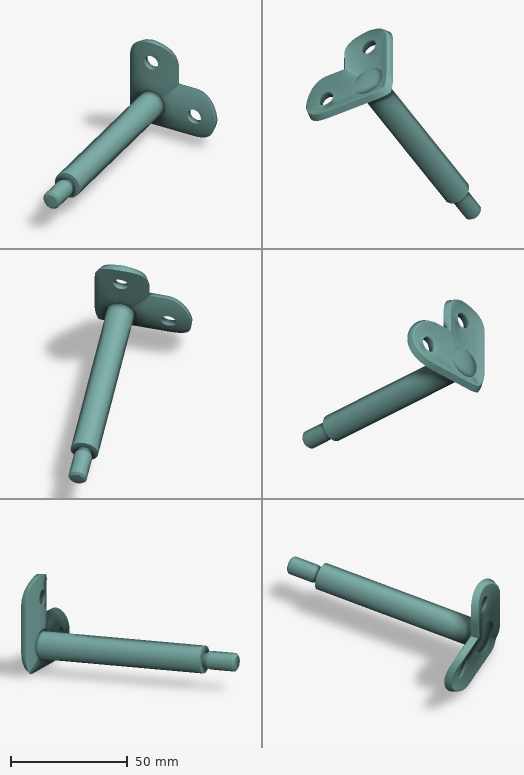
import cadquery as cq
import math

TOTAL_LENGTH = 95.5

ARM_WIDTH = 24.0
ARM_HALF = ARM_WIDTH / 2
BRACKET_SIZE = 43.0
TIP_RADIUS = ARM_HALF
TIP_CENTER = BRACKET_SIZE - ARM_HALF - TIP_RADIUS
CROWN_RADIUS = 24.0
SHEET = 3.2
EDGE_BREAK = 0.3
CORNER_RADIUS = 10.0
MOUNT_HOLE_OFFSET = 21.0
MOUNT_HOLE_DIAMETER = 6.7
SEAT_RADIUS = 7.2
SEAT_DEPTH = 0.5
CUTTER_REACH = 19.1
TOLERANCE = 0.001

HOLLOW_RADIUS = CROWN_RADIUS - SHEET
EDGE_ANGLE = math.asin(ARM_HALF / CROWN_RADIUS)
BRACKET_DEPTH = CROWN_RADIUS - HOLLOW_RADIUS * math.cos(EDGE_ANGLE - EDGE_BREAK / HOLLOW_RADIUS)

ROD_RADIUS = 6.0
STUD_LENGTH = 15.0
STUD_RADIUS = 4.0
STUD_CHAMFER = 1.0
NECK_RADIUS = 3.0
NECK_LENGTH = 1.1
SHOULDER_RADIUS = 3.7
STEEP_CONE_END = 2.0
SHALLOW_CONE_END = 3.15

STUD_END_Y = BRACKET_DEPTH - TOTAL_LENGTH
ROD_END_Y = STUD_END_Y + STUD_LENGTH


def disc_along_y(radius, y_start, y_end):
    """Solid cylinder around the rod axis between two Y positions."""
    return cq.Workplane("XZ", origin=(0, y_start, 0)).circle(radius).extrude(y_start - y_end)


def arched_sheet():
    """Long tube running along Z whose wall is the bent sheet."""
    return (
        cq.Workplane("XY", origin=(0, CROWN_RADIUS, -BRACKET_SIZE))
        .circle(CROWN_RADIUS)
        .circle(HOLLOW_RADIUS)
        .extrude(2 * BRACKET_SIZE)
    )


def left_edge_limit():
    """Block bounded by the left arm edge, which is square to the sheet, and by the tip rounding."""
    block = (
        cq.Workplane("XZ")
        .moveTo(0, -ARM_HALF)
        .lineTo(0, TIP_CENTER)
        .radiusArc((TIP_RADIUS, TIP_CENTER + TIP_RADIUS), TIP_RADIUS)
        .lineTo(BRACKET_SIZE, TIP_CENTER + TIP_RADIUS)
        .lineTo(BRACKET_SIZE, -ARM_HALF)
        .close()
        .extrude(CROWN_RADIUS, both=True)
    )
    return block.rotate((0, CROWN_RADIUS, 0), (0, CROWN_RADIUS, 1), -math.degrees(EDGE_ANGLE))


def mitre_limit():
    """Half space Z > X that the upright arm keeps."""
    return (
        cq.Workplane("XZ")
        .polyline([
            (-BRACKET_SIZE, -BRACKET_SIZE),
            (BRACKET_SIZE, BRACKET_SIZE),
            (-BRACKET_SIZE, BRACKET_SIZE),
        ])
        .close()
        .extrude(CUTTER_REACH, both=True)
    )


def upright_arm():
    left_limit = left_edge_limit()
    right_limit = left_limit.mirror("YZ")
    return arched_sheet().intersect(left_limit).intersect(right_limit).intersect(mitre_limit())


def on_hollow_rim(edge):
    """True for edges that border the hollow side, leaving out the mitre lines themselves."""
    middle = edge.positionAt(0.5)
    across_arm = min(middle.x, middle.z)
    bend_distance = math.hypot(across_arm, CROWN_RADIUS - middle.y)
    off_mitre = abs(middle.x - middle.z) > TOLERANCE
    return off_mitre and abs(bend_distance - HOLLOW_RADIUS) < TOLERANCE


def make_bracket():
    upright = upright_arm()
    level = cq.Workplane(upright.val().mirror(cq.Vector(1, 0, -1)))
    bracket = upright.union(level)

    corner_middle = (-ARM_HALF, BRACKET_DEPTH / 2, -ARM_HALF)
    bracket = bracket.edges(cq.selectors.NearestToPointSelector(corner_middle)).fillet(CORNER_RADIUS)

    hole_tool = disc_along_y(MOUNT_HOLE_DIAMETER / 2, -CUTTER_REACH, CUTTER_REACH)
    for x, z in [(0, MOUNT_HOLE_OFFSET), (MOUNT_HOLE_OFFSET, 0)]:
        bracket = bracket.cut(hole_tool.translate((x, 0, z)))

    bracket = bracket.edges().filter(on_hollow_rim).chamfer(EDGE_BREAK)

    bracket = bracket.cut(disc_along_y(SEAT_RADIUS, -CUTTER_REACH, SEAT_DEPTH))
    return bracket.cut(disc_along_y(SEAT_RADIUS, SHEET, CUTTER_REACH))


def make_rod():
    return disc_along_y(ROD_RADIUS, SEAT_DEPTH, ROD_END_Y)


def make_stud():
    """Turned stud: relieved neck, two-step cone up to full size, chamfered tip."""
    profile = [
        (0, ROD_END_Y),
        (NECK_RADIUS, ROD_END_Y),
        (NECK_RADIUS, ROD_END_Y - NECK_LENGTH),
        (SHOULDER_RADIUS, ROD_END_Y - STEEP_CONE_END),
        (STUD_RADIUS, ROD_END_Y - SHALLOW_CONE_END),
        (STUD_RADIUS, STUD_END_Y + STUD_CHAMFER),
        (STUD_RADIUS - STUD_CHAMFER, STUD_END_Y),
        (0, STUD_END_Y),
    ]
    return cq.Workplane("XY").polyline(profile).close().revolve(360, (0, 0, 0), (0, 1, 0))


bracket = make_bracket()
rod = make_rod()
stud = make_stud()
result = cq.Compound.makeCompound([bracket.val(), rod.val(), stud.val()])